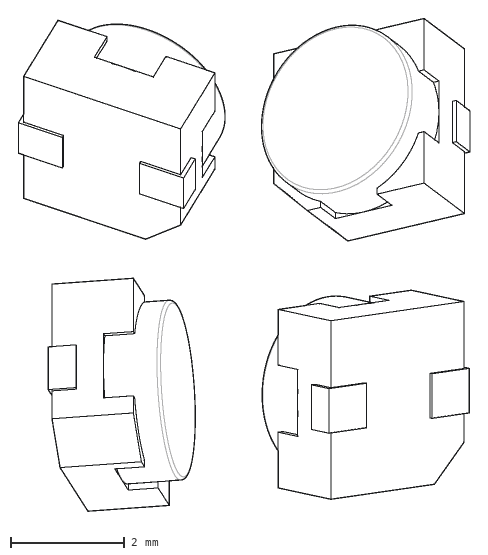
import cadquery as cq

height = 3.2
overall_width = 3.2
overall_depth = 2.0

terminal_height = 0.8
terminal_front_length = 0.855
terminal_side_length = 0.5
terminal_front_thickness = 0.05
terminal_side_thickness = 0.08

base_width = overall_width - 2 * terminal_side_thickness
corner_chamfer = 0.68
slot_fraction = 0.375
slot_depth = 0.538

cap_projection = 0.48
cap_edge_radius = 0.055

terminal_front_y = -overall_depth / 2
base_front_y = terminal_front_y + terminal_front_thickness
cap_back_y = overall_depth / 2
base_back_y = cap_back_y - cap_projection
slot_floor_y = base_back_y - slot_depth


def extrude_plane(y):
    """Return an XZ plane at the given Y whose normal points along +Y, with local x along -X."""
    return cq.Plane(origin=(0, y, 0), xDir=(-1, 0, 0), normal=(0, 1, 0))


def elliptical_cylinder():
    """Build the ellipse that fills the base outline, from the slot floor to the back of the cap."""
    return (
        cq.Workplane(extrude_plane(slot_floor_y))
        .ellipse(base_width / 2, height / 2)
        .extrude(cap_back_y - slot_floor_y)
    )


def build_base():
    """Build the block with one cut corner, a slot in each side and the seat for the cap."""
    base_depth = base_back_y - base_front_y
    block = cq.Workplane(extrude_plane(base_front_y)).rect(base_width, height).extrude(base_depth)
    block = block.edges("|Y").edges(">X").edges("<Z").chamfer(corner_chamfer)

    slots = cq.Workplane(extrude_plane(slot_floor_y))
    slot_through_z = slots.rect(slot_fraction * base_width, height).extrude(slot_depth)
    slot_through_x = slots.rect(base_width, slot_fraction * height).extrude(slot_depth)
    return block.cut(slot_through_z).cut(slot_through_x).cut(elliptical_cylinder())


def build_cap():
    """Build the elliptical cap with a rounded back edge."""
    return elliptical_cylinder().faces(">Y").edges().fillet(cap_edge_radius)


def build_terminal(side):
    """Build one L-shaped terminal; side is -1 for the -X end and +1 for the +X end."""
    outer_x = side * overall_width / 2
    wall_x = side * base_width / 2
    inner_x = outer_x - side * terminal_front_length
    side_end_y = terminal_front_y + terminal_side_length
    return (
        cq.Workplane("XY")
        .polyline(
            [
                (outer_x, terminal_front_y),
                (outer_x, side_end_y),
                (wall_x, side_end_y),
                (wall_x, base_front_y),
                (inner_x, base_front_y),
                (inner_x, terminal_front_y),
            ]
        )
        .close()
        .extrude(terminal_height / 2, both=True)
    )


base = build_base()
cap = build_cap()
terminals = [build_terminal(side) for side in (-1, 1)]

result = cq.Compound.makeCompound([base.val(), cap.val(), *[terminal.val() for terminal in terminals]])